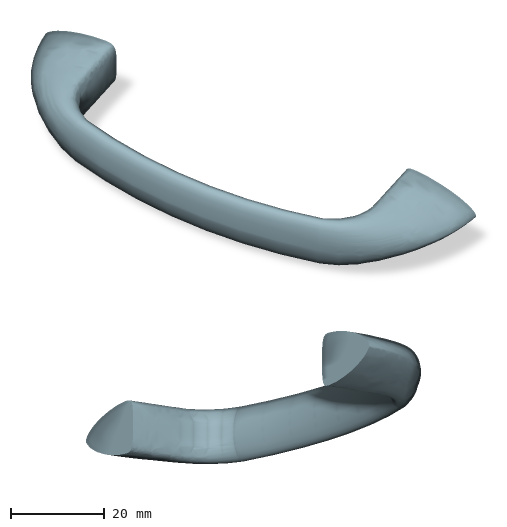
import cadquery as cq
import math

LENGTH = 108.0
PROJECTION = 31.0
BAR_HEIGHT = 12.0
FOOT_HEIGHT = 11.5

BAR_THICKNESS = 5.8
BAR_OUTER_RADIUS = 118.0
FOOT_WIDTH = 17.95
INNER_BEND_RADIUS = 9.0

CREST_FROM_INNER = BAR_THICKNESS / 2
FOOT_NOSE_EXPONENT = 1.6
FOOT_INNER_EXPONENT = 4.0
ELLIPSE_EXPONENT = 2.0
INNER_BLEND_POWER = 3

LEG_STEPS = 10
QUARTER_POINTS = 8

bar_center_y = BAR_OUTER_RADIUS - PROJECTION
bar_inner_radius = BAR_OUTER_RADIUS - BAR_THICKNESS
foot_tip_x = -LENGTH / 2
foot_inner_x = foot_tip_x + FOOT_WIDTH

inner_bend_x = foot_inner_x + INNER_BEND_RADIUS
inner_bend_y = bar_center_y - math.sqrt((bar_inner_radius - INNER_BEND_RADIUS) ** 2 - inner_bend_x**2)
bar_end = math.atan2(inner_bend_y - bar_center_y, inner_bend_x)

outer_end_x = BAR_OUTER_RADIUS * math.cos(bar_end)
outer_end_y = bar_center_y + BAR_OUTER_RADIUS * math.sin(bar_end)
chord_x = outer_end_x - foot_tip_x
chord_along_normal = chord_x * math.cos(bar_end) + outer_end_y * math.sin(bar_end)
outer_bend_radius = (chord_x**2 + outer_end_y**2) / (2 * chord_along_normal)
outer_bend_x = outer_end_x - outer_bend_radius * math.cos(bar_end)
outer_bend_y = outer_end_y - outer_bend_radius * math.sin(bar_end)
outer_bend_start = -math.pi + math.asin(outer_bend_y / outer_bend_radius)


def blend(start, end, fraction):
    return start + (end - start) * fraction


def on_circle(center_x, center_y, radius, angle):
    return (center_x + radius * math.cos(angle), center_y + radius * math.sin(angle))


def outer_leg_point(fraction):
    """Point on the outer bend, from the foot tip to the long arc."""
    angle = blend(outer_bend_start, bar_end, fraction)
    return on_circle(outer_bend_x, outer_bend_y, outer_bend_radius, angle)


def inner_leg_point(fraction):
    """Point on the straight inner leg and its bend, by distance from the foot."""
    straight = -inner_bend_y
    bend_angle = bar_end + math.pi
    distance = fraction * (straight + INNER_BEND_RADIUS * bend_angle)
    if distance <= straight:
        return (foot_inner_x, -distance)
    angle = -math.pi + (distance - straight) / INNER_BEND_RADIUS
    return on_circle(inner_bend_x, inner_bend_y, INNER_BEND_RADIUS, angle)


def superellipse_point(angle, exponent):
    """First-quadrant point of a unit superellipse."""
    power = 2 / exponent
    return (max(math.cos(angle), 0.0) ** power, math.sin(angle) ** power)


def section(outer, inner, barness):
    """Closed upright section between two plan points; barness runs from 0 at the foot to 1 in the bar."""
    width = math.dist(outer, inner)
    inner_barness = barness**INNER_BLEND_POWER
    half_height = blend(FOOT_HEIGHT, BAR_HEIGHT, inner_barness) / 2
    crest = width - CREST_FROM_INNER
    nose_exponent = blend(FOOT_NOSE_EXPONENT, ELLIPSE_EXPONENT, barness)
    inner_exponent = blend(FOOT_INNER_EXPONENT, ELLIPSE_EXPONENT, inner_barness)

    upper = []
    for i in range(QUARTER_POINTS):
        along, up = superellipse_point(math.pi / 2 * i / QUARTER_POINTS, nose_exponent)
        upper.append((crest * (1 - along), half_height * up))
    for i in range(QUARTER_POINTS, -1, -1):
        along, up = superellipse_point(math.pi / 2 * i / QUARTER_POINTS, inner_exponent)
        upper.append((crest + CREST_FROM_INNER * along, half_height * up))
    lower = [(s, -z) for s, z in upper[-2:0:-1]]

    direction = cq.Vector(inner[0] - outer[0], inner[1] - outer[1], 0)
    plane = cq.Plane(origin=(*outer, 0), xDir=direction, normal=direction.cross(cq.Vector(0, 0, 1)))
    points = [plane.toWorldCoords(point) for point in upper + lower]
    return cq.Wire.assembleEdges([cq.Edge.makeSpline(points, periodic=True)])


def make_leg():
    """Left leg, lofted from the foot to the end of the bar."""
    sections = []
    for i in range(LEG_STEPS + 1):
        fraction = i / LEG_STEPS
        sections.append(section(outer_leg_point(fraction), inner_leg_point(fraction), fraction))
    return cq.Workplane(obj=cq.Solid.makeLoft(sections))


def make_bar():
    """Bowed bar: the end section revolved about the common center of the bar arcs."""
    profile = cq.Face.makeFromWires(section(outer_leg_point(1), inner_leg_point(1), 1))
    sweep_angle = math.degrees(2 * (-math.pi / 2 - bar_end))
    axis_start = cq.Vector(0, bar_center_y, 0)
    axis_end = cq.Vector(0, bar_center_y, 1)
    return cq.Workplane(obj=cq.Solid.revolve(profile, sweep_angle, axis_start, axis_end))


left_leg = make_leg()
result = make_bar().union(left_leg).union(left_leg.mirror("YZ"))